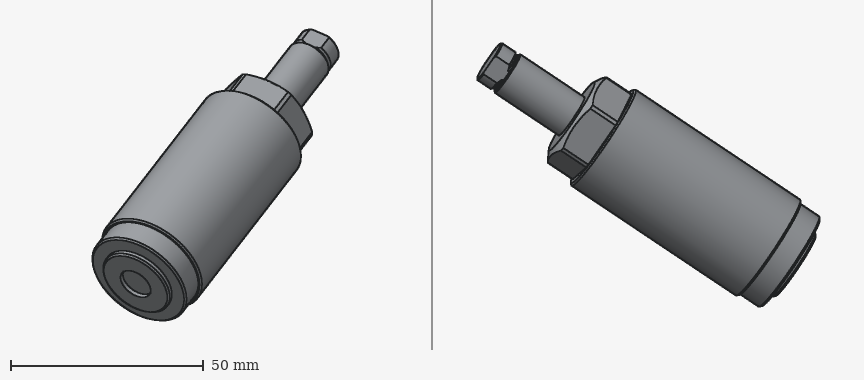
import cadquery as cq
import math

length = 96.0

rod_radius = 6.0
rod_chamfer = 0.4
tip_radius = 5.8
tip_chamfer = 0.3
tip_length = 5.5
tip_head_length = 4.4
neck_radius = 5.2
tip_across_flats = 10.0

hex_start = 25.9
barrel_start = 35.4
barrel_end = 87.9
cap_end = 94.5

hex_across_flats = 24.0
hex_corner_radius = 13.5
hex_face_radius = 10.7
hex_bevel_length = 1.6
barrel_radius = 15.0
barrel_chamfer = 0.5
cap_radius = 14.1
cap_chamfer = 0.5
boss_radius = 10.0
boss_chamfer = 0.5
recess_radius = 4.5
recess_depth = 1.2

rod_end_y = length / 2
back_y = -length / 2
hex_face_y = rod_end_y - hex_start
barrel_front_y = rod_end_y - barrel_start
barrel_back_y = rod_end_y - barrel_end
cap_back_y = rod_end_y - cap_end


def cylinder(radius, start_y, end_y):
    """Cylinder on the Y axis from start_y up to end_y."""
    return cq.Workplane("XZ", origin=(0, end_y, 0)).circle(radius).extrude(end_y - start_y)


def revolve_about_y(points):
    """Solid of revolution from a closed (radius, y) outline."""
    return cq.Workplane("XY").polyline(points).close().revolve(360, (0, 0, 0), (0, 1, 0))


def make_rod():
    """Round rod resting on the hex face, with a necked tip that has two flats."""
    shoulder_y = rod_end_y - tip_length
    shank = cylinder(rod_radius, hex_face_y, shoulder_y).faces(">Y").chamfer(rod_chamfer)

    head_back_y = rod_end_y - tip_head_length
    neck_y = head_back_y - (tip_radius - neck_radius)
    tip = revolve_about_y([
        (0, shoulder_y),
        (neck_radius, shoulder_y),
        (neck_radius, neck_y),
        (tip_radius, head_back_y),
        (tip_radius, rod_end_y - tip_chamfer),
        (tip_radius - tip_chamfer, rod_end_y),
        (0, rod_end_y),
    ])
    flats = cq.Workplane("XY").box(2 * tip_radius, length, tip_across_flats)
    return shank.union(tip.intersect(flats))


def make_hex():
    """Hexagon with flats facing +Z and -Z, turned round at its corners and bevelled in front."""
    sharp_corner_diameter = hex_across_flats / math.cos(math.pi / 6)
    prism = (
        cq.Workplane("XZ", origin=(0, hex_face_y, 0))
        .polygon(6, sharp_corner_diameter)
        .extrude(hex_face_y - barrel_front_y)
    )
    turned = revolve_about_y([
        (0, barrel_front_y),
        (hex_corner_radius, barrel_front_y),
        (hex_corner_radius, hex_face_y - hex_bevel_length),
        (hex_face_radius, hex_face_y),
        (0, hex_face_y),
    ])
    return prism.intersect(turned)


def make_housing():
    """Barrel with the hexagon in front and a stepped, recessed end cap behind."""
    barrel = cylinder(barrel_radius, barrel_back_y, barrel_front_y)
    barrel = barrel.faces("<Y or >Y").chamfer(barrel_chamfer)
    cap = cylinder(cap_radius, cap_back_y, barrel_back_y).faces("<Y").chamfer(cap_chamfer)
    boss = cylinder(boss_radius, back_y, cap_back_y).faces("<Y").chamfer(boss_chamfer)
    recess = cylinder(recess_radius, back_y, back_y + recess_depth)
    return barrel.union(make_hex()).union(cap).union(boss).cut(recess)


rod = make_rod()
housing = make_housing()
result = cq.Compound.makeCompound([rod.val(), housing.val()])